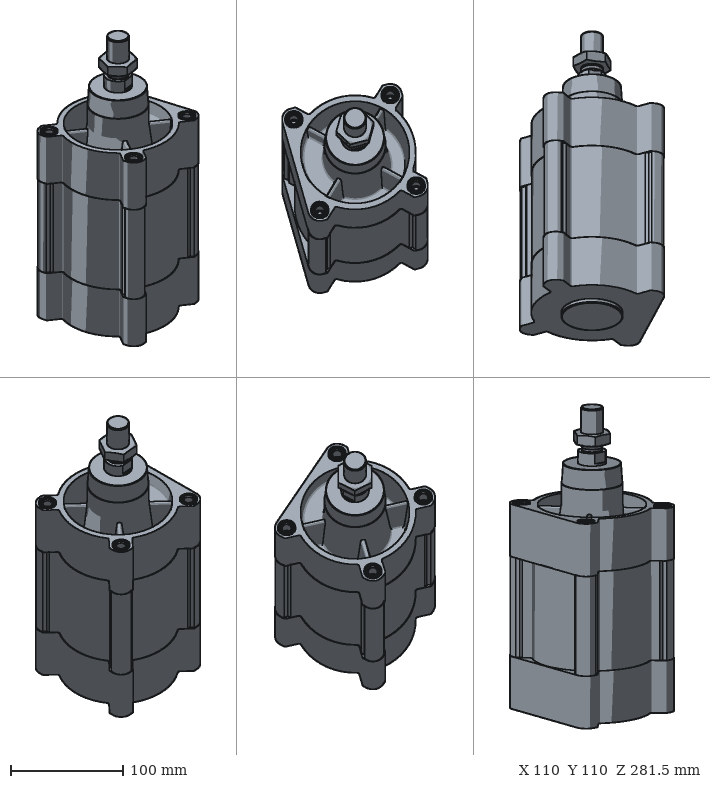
import cadquery as cq
import math

rear_collar_height = 4.0
cap_height = 48.25
tube_height = 91.5
front_collar_height = 20.0
nose_height = 18.0
rod_flat_band = 11.5
thread_length = 40.0

rear_face_z = rear_collar_height
tube_z = rear_face_z + cap_height
front_cap_z = tube_z + tube_height
front_face_z = front_cap_z + cap_height
nose_z = front_face_z + front_collar_height
nose_top_z = nose_z + nose_height
shoulder_z = nose_top_z + rod_flat_band
rod_tip_z = shoulder_z + thread_length

cap_side = 110.0
bolt_spacing = 89.0
cap_radius = 54.2
corner_radius = (cap_side - bolt_spacing) / 2
cap_edge_radius = 2.0
port_side_width = 86.0
port_side_inner_y = 40.0
boss_angles = (45, 135, 225, 315)
bolt_pitch_radius = bolt_spacing / math.sqrt(2)

tube_radius = 53.8
tube_boss_radius = 10.2
tube_web_fillet = 2.6
groove_inner_u = 61.6
groove_apex_u = 64.0
groove_outer_u = 67.6
groove_apex_v = 8.3
groove_outer_v = 8.8

collar_diameter = 55.0
collar_chamfer = 0.8
nose_base_diameter = 54.4
nose_top_diameter = 52.1
nose_chamfer = 0.5

recess_radius = 48.5
recess_draft = 7.5
recess_depth = 32.0
port_side_depth = 12.5
recess_floor_fillet = 2.0
rib_top_drop = 2.5
rib_rounding = 2.2
rib_root_depth = 1.0
recess_floor_z = front_face_z - recess_depth
port_floor_z = front_face_z - port_side_depth
rib_top_z = front_face_z - rib_top_drop

bolt_bore_diameter = 15.8
bolt_head_diameter = 15.0
bolt_head_chamfer = 1.0
bolt_gap_depth = 2.0
bolt_hole_diameter = 8.38
bolt_hole_chamfer = 1.2
bolt_hole_depth = 12.0
bolt_socket_diameter = 6.8
bolt_socket_depth = 14.0

rod_diameter = 25.0
rod_flat_width = 22.0
rod_flat_length = 9.5
rod_seat_depth = nose_height + front_collar_height
thread_diameter = 20.0
thread_root_diameter = 18.38
tip_chamfer_height = 1.2
runout_start = 34.4
runout_end = 36.5
runout_diameter = 18.63
relief_diameter = 17.9
relief_start = 37.2
relief_end = 39.4

nut_across_flats = 30.0
nut_height = 10.0
nut_top_from_tip = 23.0
nut_chamfer_diameter = 29.0
nut_corner_drop = 0.8
nut_bottom_z = rod_tip_z - nut_top_from_tip - nut_height

match_tolerance = 0.05


def cylinder(diameter, height, base_z):
    return cq.Workplane("XY").workplane(offset=base_z).circle(diameter / 2).extrude(height)


def inner_corner(edge):
    """True for the boss edges that lie inboard of the bolt centres on at least one axis."""
    center = edge.Center()
    return min(abs(center.x), abs(center.y)) < bolt_spacing / 2 - match_tolerance


def tube_web_corner(edge):
    """True for the edges where a tube boss meets the barrel."""
    center = edge.Center()
    return abs(math.hypot(center.x, center.y) - tube_radius) < match_tolerance


def at_bosses(shape):
    """Copies of a shape drawn on the +X axis, turned to the four bosses."""
    return [shape.rotate((0, 0, 0), (0, 0, 1), angle) for angle in boss_angles]


def cap(base_z):
    """Round cap with four diagonal corner bosses and a straight +Y side."""
    square = (
        cq.Workplane("XY").box(cap_side, cap_side, cap_height, centered=(True, True, False))
        .edges("|Z").fillet(corner_radius)
    )
    body = cylinder(2 * cap_radius, cap_height, 0)
    strip = (
        cq.Workplane("XY").rect(cap_side, 2 * corner_radius).extrude(cap_height)
        .translate((cap_side / 2, 0, 0))
    )
    for boss in at_bosses(strip):
        body = body.union(boss.intersect(square))
    body = body.edges("|Z").filter(inner_corner).fillet(cap_edge_radius)

    port_side = cq.Workplane("XY").box(
        port_side_width, cap_side / 2 - port_side_inner_y, cap_height, centered=(True, False, False)
    ).translate((0, port_side_inner_y, 0))
    return body.union(port_side).translate((0, 0, base_z))


def tube():
    """Barrel with round corner bosses and a V groove along both flanks of each boss."""
    body = cylinder(2 * tube_radius, tube_height, 0)
    boss = (
        cq.Workplane("XY").moveTo(0, -tube_boss_radius)
        .lineTo(bolt_pitch_radius, -tube_boss_radius)
        .threePointArc((bolt_pitch_radius + tube_boss_radius, 0), (bolt_pitch_radius, tube_boss_radius))
        .lineTo(0, tube_boss_radius)
        .close().extrude(tube_height)
    )
    for copy in at_bosses(boss):
        body = body.union(copy)
    body = body.edges("|Z").filter(tube_web_corner).fillet(tube_web_fillet)

    groove = (
        cq.Workplane("XY").moveTo(groove_inner_u, tube_boss_radius)
        .lineTo(groove_apex_u, groove_apex_v)
        .lineTo(groove_outer_u, groove_outer_v)
        .lineTo(groove_outer_u, 2 * tube_boss_radius)
        .lineTo(groove_inner_u, 2 * tube_boss_radius)
        .close().extrude(tube_height)
    )
    for flank in (groove, groove.mirror("XZ")):
        for cutter in at_bosses(flank):
            body = body.cut(cutter)
    return body.translate((0, 0, tube_z))


def rear_collar():
    return cylinder(collar_diameter, rear_collar_height, 0).faces("<Z").chamfer(collar_chamfer)


def front_nose():
    """Centring collar and the tapered nose on top of it."""
    collar = (
        cylinder(collar_diameter, front_collar_height, front_face_z)
        .faces(">Z").chamfer((collar_diameter - nose_base_diameter) / 2)
    )
    nose = (
        cq.Workplane("XY").workplane(offset=nose_z).circle(nose_base_diameter / 2)
        .workplane(offset=nose_height).circle(nose_top_diameter / 2).loft()
        .faces(">Z").chamfer(nose_chamfer)
    )
    return collar.union(nose)


def drafted_ring(depth):
    """Ring around the hub, cut down from the front face and narrowing with depth."""
    inset = depth * math.tan(math.radians(recess_draft))
    hub_radius = collar_diameter / 2
    profile = (
        cq.Workplane("XZ").moveTo(hub_radius, front_face_z)
        .lineTo(recess_radius, front_face_z)
        .lineTo(recess_radius - inset, front_face_z - depth)
        .lineTo(hub_radius + inset, front_face_z - depth)
        .close()
    )
    return profile.revolve(360, (0, 0, 0), (0, 1, 0))


def rib():
    """Drafted rib with a round top, running outward along +X from just below the recess floor."""
    draft = math.radians(recess_draft)
    foot_z = recess_floor_z - rib_root_depth
    round_z = rib_top_z - rib_rounding * (1 - math.sin(draft))
    round_half = rib_rounding * math.cos(draft)
    foot_half = round_half + (round_z - foot_z) * math.tan(draft)
    return (
        cq.Workplane("YZ").moveTo(-foot_half, foot_z)
        .lineTo(-round_half, round_z)
        .threePointArc((0, rib_top_z), (round_half, round_z))
        .lineTo(foot_half, foot_z)
        .close().extrude(cap_side / 2)
    )


def port_side_fill():
    """Wedge that raises the recess floor in the quarter next to the straight side."""
    reach = cap_side / 2
    foot_z = recess_floor_z - rib_root_depth
    return (
        cq.Workplane("XY").workplane(offset=foot_z)
        .polyline([(0, 0), (reach, reach), (-reach, reach)])
        .close().extrude(port_floor_z - foot_z)
    )


def floor_faces(z):
    """Selector for the faces that lie at the given height."""
    reach = cap_side / 2
    return cq.selectors.BoxSelector((-reach, -reach, z - match_tolerance), (reach, reach, z + match_tolerance))


def recess():
    """Open space of the front recess, with ribs left standing and floor corners rounded."""
    space = drafted_ring(recess_depth).cut(port_side_fill())
    for copy in at_bosses(rib()):
        space = space.cut(copy)
    for floor_z in (recess_floor_z, port_floor_z):
        space = space.faces(floor_faces(floor_z)).edges().fillet(recess_floor_fillet)
    return space


def bolt_head_gap():
    """Groove around a bolt head and the threaded hole in the head, on the front face."""
    head = (
        cylinder(bolt_head_diameter, bolt_gap_depth, -bolt_gap_depth)
        .faces(">Z").chamfer(bolt_head_chamfer)
    )
    groove = cylinder(bolt_bore_diameter, bolt_gap_depth, -bolt_gap_depth).cut(head)
    hole = cylinder(bolt_hole_diameter, bolt_hole_depth, -bolt_hole_depth)
    socket = cylinder(bolt_socket_diameter, bolt_socket_depth, -bolt_socket_depth)
    mouth = (
        cq.Workplane("XY").circle(bolt_hole_diameter / 2 + bolt_hole_chamfer)
        .workplane(offset=-bolt_hole_chamfer).circle(bolt_hole_diameter / 2).loft()
    )
    return groove.union(hole).union(socket).union(mouth).translate((bolt_pitch_radius, 0, front_face_z))


def make_housing():
    front_cap = cap(front_cap_z).cut(recess())
    for cutter in at_bosses(bolt_head_gap()):
        front_cap = front_cap.cut(cutter)

    rod_hole = cylinder(rod_diameter, rod_seat_depth, nose_top_z - rod_seat_depth)
    return (
        rear_collar().union(cap(rear_face_z)).union(tube()).union(front_cap)
        .union(front_nose()).cut(rod_hole)
    )


def make_rod():
    """Piston rod with wrench flats, thread relief and threaded end."""
    def below_tip(distance):
        return rod_tip_z - distance

    profile = (
        cq.Workplane("XZ").moveTo(0, nose_top_z - rod_seat_depth)
        .lineTo(rod_diameter / 2, nose_top_z - rod_seat_depth)
        .lineTo(rod_diameter / 2, shoulder_z)
        .lineTo(runout_diameter / 2, shoulder_z)
        .lineTo(relief_diameter / 2, below_tip(relief_end))
        .lineTo(relief_diameter / 2, below_tip(relief_start))
        .lineTo(runout_diameter / 2, below_tip(runout_end))
        .lineTo(thread_diameter / 2, below_tip(runout_start))
        .lineTo(thread_diameter / 2, below_tip(tip_chamfer_height))
        .lineTo(thread_root_diameter / 2, rod_tip_z)
        .lineTo(0, rod_tip_z)
        .close()
    )
    rod = profile.revolve(360, (0, 0, 0), (0, 1, 0))
    for side in (-1, 1):
        flat = cq.Workplane("XY").box(
            rod_diameter, rod_diameter, rod_flat_length, centered=(True, True, False)
        ).translate((side * (rod_flat_width + rod_diameter) / 2, 0, shoulder_z - rod_flat_length))
        rod = rod.cut(flat)
    return rod


def make_nut():
    """Hexagon nut with corners along Y, chamfered on both faces."""
    hex_radius = nut_across_flats / math.sqrt(3)
    hexagon = (
        cq.Workplane("XY").polygon(6, 2 * hex_radius).extrude(nut_height)
        .rotate((0, 0, 0), (0, 0, 1), 90)
    )
    turned = cylinder(2 * hex_radius, nut_height, 0).faces("<Z or >Z").chamfer(
        nut_corner_drop, hex_radius - nut_chamfer_diameter / 2
    )
    hole = cylinder(thread_diameter, nut_height, 0)
    return hexagon.intersect(turned).cut(hole).translate((0, 0, nut_bottom_z))


housing = make_housing()
rod = make_rod()
nut = make_nut()

result = cq.Compound.makeCompound([housing.val(), rod.val(), nut.val()])